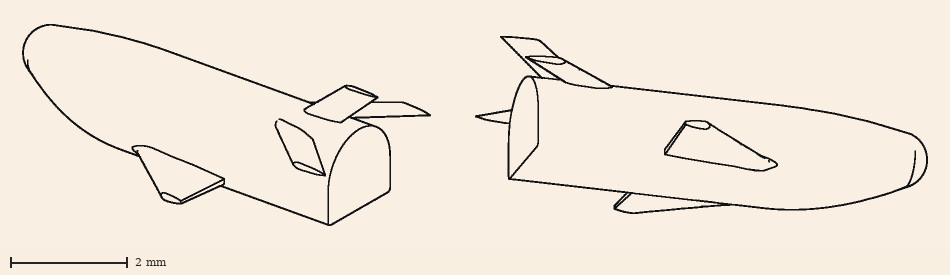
import cadquery as cq
import math

overall_length = 7.64
overall_height = 2.28
wing_half_span = 2.055

body_end = 7.235
body_radius = 0.855
flank_height = 0.68
belly_fillet = 0.07

cap_depth = 0.335
cap_radius = 0.465
cap_center_z = 0.85
nose_end = 2.65
nose_section_count = 5
cap_end_rounding = 0.97

wing_trailing_x = 4.96
wing_tip_leading_x = 4.52
wing_root_leading_x = 3.095
wing_root_y = 0.92
fairing_leading_x = 2.865
fairing_y = 0.825
wing_root_thickness = 0.245
wing_root_center_z = 0.145
wing_tip_thickness = 0.145
wing_tip_center_z = 0.22
wing_trailing_ratio = 0.4

fin_tip_chord = 0.71
fin_trailing_sweep = 1.09
fin_leading_sweep = 1.21
fin_tip_thickness = 0.115
fin_root_thickness = 0.16
fin_trailing_ratio = 0.06
upright_fin_root_z = 1.41
side_fin_z = 1.35
side_fin_root_y = 0.27
side_fin_tip_y = 1.445


def fuselage_section(x, radius, side_z, belly_z, rounding):
    """Wire with a round top, straight sides and a flat belly with rounded corners."""
    corner_z = belly_z + rounding
    corner_y = radius - rounding
    diagonal = rounding * math.sqrt(0.5)
    return (
        cq.Workplane("YZ", origin=(x, 0, 0))
        .moveTo(-radius, side_z)
        .threePointArc((0, side_z + radius), (radius, side_z))
        .lineTo(radius, corner_z)
        .threePointArc((corner_y + diagonal, corner_z - diagonal), (corner_y, belly_z))
        .lineTo(-corner_y, belly_z)
        .threePointArc((-corner_y - diagonal, corner_z - diagonal), (-radius, corner_z))
        .close()
        .wire()
        .val()
    )


def nose_section(fraction):
    """Nose section at a fraction of the way from the cap to the straight fuselage."""
    growth = 1 - (1 - fraction) ** 2

    def blend(start, end):
        return start + (end - start) * growth

    return fuselage_section(
        cap_depth + (nose_end - cap_depth) * fraction,
        blend(cap_radius, body_radius),
        blend(cap_center_z, flank_height),
        blend(cap_center_z - cap_radius, 0),
        blend(cap_radius * cap_end_rounding, belly_fillet),
    )


def make_nose():
    steps = nose_section_count - 1
    sections = [nose_section(i / steps) for i in range(nose_section_count)]
    return cq.Workplane(cq.Solid.makeLoft(sections))


def make_cap():
    """Spherical nose cap, revolved about the nose axis."""
    sphere_radius = (cap_radius**2 + cap_depth**2) / (2 * cap_depth)
    mid_x = sphere_radius * (1 - math.sqrt(1 - (cap_radius / 2 / sphere_radius) ** 2))
    return (
        cq.Workplane("XZ", origin=(0, 0, cap_center_z))
        .threePointArc((mid_x, cap_radius / 2), (cap_depth, cap_radius))
        .lineTo(cap_depth, 0)
        .close()
        .revolve(360, (0, 0), (1, 0))
    )


def make_body():
    section = fuselage_section(nose_end, body_radius, flank_height, 0, belly_fillet)
    return cq.Workplane(cq.Solid.extrudeLinear(section, [], cq.Vector(body_end - nose_end, 0, 0)))


def foil(leading_x, trailing_x, y, center_z, thickness, trailing_ratio):
    """Foil wire in an XZ plane: rounded leading edge and a blunt trailing edge."""
    chord = trailing_x - leading_x
    half = thickness / 2
    upper = [(0.05, 0.6), (0.35, 1.0), (0.7, 0.8), (1.0, trailing_ratio)]
    top = [(leading_x + a * chord, center_z + b * half) for a, b in upper]
    bottom = [(leading_x + a * chord, center_z - b * half) for a, b in reversed(upper)]
    return (
        cq.Workplane("XZ", origin=(0, y, 0))
        .moveTo(*bottom[0])
        .spline(bottom[1:] + [(leading_x, center_z)] + top, includeCurrent=True)
        .close()
        .wire()
        .val()
    )


def make_wing():
    """Wing on the +Y side, with a short fairing that flares forward into the fuselage."""
    def root_foil(leading_x, y):
        center_z = wing_root_center_z
        return foil(leading_x, wing_trailing_x, y, center_z, wing_root_thickness, wing_trailing_ratio)

    fairing = root_foil(fairing_leading_x, fairing_y)
    root = root_foil(wing_root_leading_x, wing_root_y)
    tip = foil(
        wing_tip_leading_x,
        wing_trailing_x,
        wing_half_span,
        wing_tip_center_z,
        wing_tip_thickness,
        wing_trailing_ratio,
    )
    return cq.Workplane(cq.Solid.makeLoft([fairing, root, tip], True))


def make_fin(root_y, tip_y):
    """Swept fin reaching toward +Y, centred on Z = 0."""
    length = tip_y - root_y
    tip_leading_x = overall_length - fin_tip_chord
    root = foil(
        tip_leading_x - fin_leading_sweep * length,
        overall_length - fin_trailing_sweep * length,
        root_y,
        0,
        fin_root_thickness,
        fin_trailing_ratio,
    )
    tip = foil(tip_leading_x, overall_length, tip_y, 0, fin_tip_thickness, fin_trailing_ratio)
    return cq.Workplane(cq.Solid.makeLoft([root, tip], True))


wing = make_wing()
side_fin = make_fin(side_fin_root_y, side_fin_tip_y).translate((0, 0, side_fin_z))
upright_fin = make_fin(upright_fin_root_z, overall_height).rotate((0, 0, 0), (1, 0, 0), 90)

result = make_body().union(make_nose()).union(make_cap()).union(upright_fin)
for surface in (wing, side_fin):
    result = result.union(surface).union(surface.mirror("XZ"))